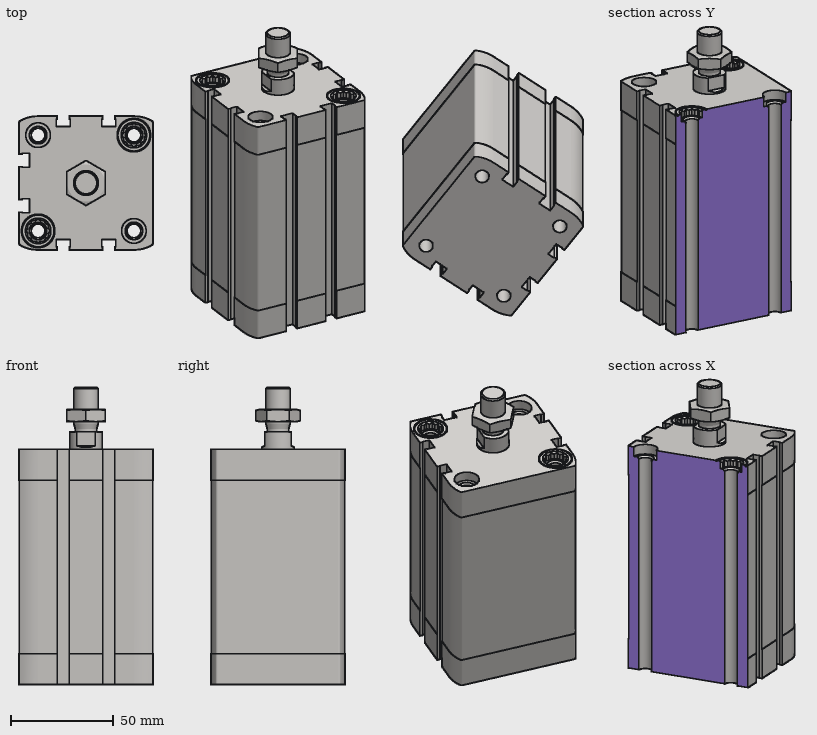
import cadquery as cq
import math


TOTAL_HEIGHT = 145.2
HOUSING_WIDTH = 65.5
HOUSING_HEIGHT = 115.0
HALF_WIDTH = HOUSING_WIDTH / 2

CAP_HEIGHT = 15.1
BARREL_HEIGHT = HOUSING_HEIGHT - 2 * CAP_HEIGHT
BARREL_INSET = 0.1
CORNER_ARC_RADIUS = 18.0
CORNER_EDGE_FILLET = 1.2

SLOT_PITCH = 22.2
SLOT_MOUTH_WIDTH = 6.1
SLOT_INNER_WIDTH = 6.7
SLOT_DEPTH = 5.1
SLOT_LIP = 1.6

HOLE_OFFSET = 23.4
THROUGH_DIAMETER = 6.7
THROUGH_MOUTH_DIAMETER = 8.5
COUNTERBORE_DIAMETER = 12.0
COUNTERBORE_DEPTH = 5.0

GROOVE_OUTER_DIAMETER = 16.4
GROOVE_INNER_DIAMETER = 15.5
GROOVE_DEPTH = 0.9
SOCKET_FLATS = 10.0
SOCKET_DEPTH = 3.9
SOCKET_MOUTH_DIAMETER = 12.5

ROD_DIAMETER = 16.0
ROD_SHOULDER_Z = 123.4
NECK_DIAMETER = 10.6
NECK_TOP_Z = 124.9
THREAD_DIAMETER = 12.0
THREAD_START_Z = 127.5
THREAD_TIP_DIAMETER = 10.6
THREAD_TIP_CHAMFER = (THREAD_DIAMETER - THREAD_TIP_DIAMETER) / 2
ROD_FLATS = 13.0
ROD_FLAT_BOTTOM_Z = 116.7
ROD_FLAT_RUNOUT = 0.9

NUT_FLATS = 19.0
NUT_BOTTOM_Z = 128.4
NUT_HEIGHT = 6.1
NUT_FACE_DIAMETER = 18.2
NUT_CHAMFER_HEIGHT = 0.6


def hexagon_corner_diameter(across_flats):
    return across_flats / math.cos(math.radians(30))


def vertical_cylinder(diameter, bottom, top):
    return cq.Workplane("XY").workplane(offset=bottom).circle(diameter / 2).extrude(top - bottom)


def vertical_cone(bottom_diameter, top_diameter, bottom, top):
    return cq.Workplane(
        cq.Solid.makeCone(bottom_diameter / 2, top_diameter / 2, top - bottom, pnt=cq.Vector(0, 0, bottom))
    )


def turned_hexagon(across_flats, bottom, height):
    """Hexagonal prism with two of its corners on the Y axis."""
    return (
        cq.Workplane("XY")
        .workplane(offset=bottom)
        .transformed(rotate=(0, 0, 30))
        .polygon(6, hexagon_corner_diameter(across_flats))
        .extrude(height)
    )


def profile_block(inset, bottom, height):
    """Block whose +Y and -Y sides curve back towards the corners."""
    half = HALF_WIDTH - inset
    radius = CORNER_ARC_RADIUS - inset
    arc_centre_y = half - radius
    arc_span = math.asin((half - HOLE_OFFSET) / radius)
    corner_y = arc_centre_y + radius * math.cos(arc_span)
    mid_x = HOLE_OFFSET + radius * math.sin(arc_span / 2)
    mid_y = arc_centre_y + radius * math.cos(arc_span / 2)
    return (
        cq.Workplane("XY")
        .workplane(offset=bottom)
        .moveTo(-HOLE_OFFSET, half)
        .lineTo(HOLE_OFFSET, half)
        .threePointArc((mid_x, mid_y), (half, corner_y))
        .lineTo(half, -corner_y)
        .threePointArc((mid_x, -mid_y), (HOLE_OFFSET, -half))
        .lineTo(-HOLE_OFFSET, -half)
        .threePointArc((-mid_x, -mid_y), (-half, -corner_y))
        .lineTo(-half, corner_y)
        .threePointArc((-mid_x, mid_y), (-HOLE_OFFSET, half))
        .close()
        .extrude(height)
        .edges("|Z and (<X or >X)")
        .fillet(CORNER_EDGE_FILLET)
    )


def slot_cutter():
    """Undercut slot in the middle of the +Y side, over the full height."""
    mouth_half = SLOT_MOUTH_WIDTH / 2
    inner_half = SLOT_INNER_WIDTH / 2
    lip_y = HALF_WIDTH - SLOT_LIP
    floor_y = HALF_WIDTH - SLOT_DEPTH
    return (
        cq.Workplane("XY")
        .moveTo(0, HALF_WIDTH)
        .lineTo(mouth_half, HALF_WIDTH)
        .lineTo(mouth_half, lip_y)
        .lineTo(inner_half, lip_y)
        .lineTo(inner_half, floor_y)
        .lineTo(0, floor_y)
        .mirrorY()
        .extrude(HOUSING_HEIGHT)
    )


def through_hole(seat_z):
    """Hole through the housing, countersunk at the seat it starts from."""
    countersink = (THROUGH_MOUTH_DIAMETER - THROUGH_DIAMETER) / 2
    bore = vertical_cylinder(THROUGH_DIAMETER, 0, seat_z)
    return bore.union(
        vertical_cone(THROUGH_DIAMETER, THROUGH_MOUTH_DIAMETER, seat_z - countersink, seat_z)
    )


def counterbored_hole():
    seat_z = HOUSING_HEIGHT - COUNTERBORE_DEPTH
    counterbore = vertical_cylinder(COUNTERBORE_DIAMETER, seat_z, HOUSING_HEIGHT)
    return through_hole(seat_z).union(counterbore)


def bearing_screw_hole():
    """Twelve-point socket over a through hole, inside the groove round the screw head."""
    seat_z = HOUSING_HEIGHT - SOCKET_DEPTH
    hexagon = turned_hexagon(SOCKET_FLATS, seat_z, SOCKET_DEPTH)
    socket = hexagon.union(hexagon.rotate((0, 0, 0), (0, 0, 1), 30))
    mouth_depth = (SOCKET_MOUTH_DIAMETER - SOCKET_FLATS) / 2
    mouth = vertical_cone(SOCKET_FLATS, SOCKET_MOUTH_DIAMETER, HOUSING_HEIGHT - mouth_depth, HOUSING_HEIGHT)
    groove_z = HOUSING_HEIGHT - GROOVE_DEPTH
    groove = vertical_cylinder(GROOVE_OUTER_DIAMETER, groove_z, HOUSING_HEIGHT).cut(
        vertical_cone(GROOVE_OUTER_DIAMETER, GROOVE_INNER_DIAMETER, groove_z, HOUSING_HEIGHT)
    )
    return through_hole(seat_z).union(socket).union(mouth).union(groove)


def make_housing():
    housing = profile_block(0, 0, CAP_HEIGHT)
    housing = housing.union(profile_block(BARREL_INSET, CAP_HEIGHT, BARREL_HEIGHT))
    housing = housing.union(profile_block(0, HOUSING_HEIGHT - CAP_HEIGHT, CAP_HEIGHT))
    for side_angle in (0, 90, 180):
        for slot_x in (-SLOT_PITCH / 2, SLOT_PITCH / 2):
            slot = slot_cutter().translate((slot_x, 0, 0))
            housing = housing.cut(slot.rotate((0, 0, 0), (0, 0, 1), side_angle))
    for side in (-1, 1):
        plain_place = (side * HOLE_OFFSET, -side * HOLE_OFFSET, 0)
        screw_place = (side * HOLE_OFFSET, side * HOLE_OFFSET, 0)
        housing = housing.cut(counterbored_hole().translate(plain_place))
        housing = housing.cut(bearing_screw_hole().translate(screw_place))
    return housing


def rod_flat_cutter():
    """Material removed beside the +Y wrench flat, ending in a step that slopes down outwards."""
    flat_y = ROD_FLATS / 2
    rod_radius = ROD_DIAMETER / 2
    return (
        cq.Workplane("YZ")
        .moveTo(flat_y, ROD_SHOULDER_Z)
        .lineTo(flat_y, ROD_FLAT_BOTTOM_Z)
        .lineTo(rod_radius, ROD_FLAT_BOTTOM_Z - ROD_FLAT_RUNOUT)
        .lineTo(rod_radius, ROD_SHOULDER_Z)
        .close()
        .extrude(rod_radius, both=True)
    )


def make_piston_rod():
    """Rod resting on the top face of the housing."""
    rod = (
        cq.Workplane("XZ")
        .moveTo(0, HOUSING_HEIGHT)
        .lineTo(ROD_DIAMETER / 2, HOUSING_HEIGHT)
        .lineTo(ROD_DIAMETER / 2, ROD_SHOULDER_Z)
        .lineTo(NECK_DIAMETER / 2, ROD_SHOULDER_Z)
        .lineTo(NECK_DIAMETER / 2, NECK_TOP_Z)
        .lineTo(THREAD_DIAMETER / 2, THREAD_START_Z)
        .lineTo(THREAD_DIAMETER / 2, TOTAL_HEIGHT - THREAD_TIP_CHAMFER)
        .lineTo(THREAD_TIP_DIAMETER / 2, TOTAL_HEIGHT)
        .lineTo(0, TOTAL_HEIGHT)
        .close()
        .revolve(360, (0, 0, 0), (0, 1, 0))
    )
    for side_angle in (0, 180):
        rod = rod.cut(rod_flat_cutter().rotate((0, 0, 0), (0, 0, 1), side_angle))
    return rod


def make_nut():
    """Hexagon nut on the thread, with its corners turned down on both faces."""
    corner_radius = hexagon_corner_diameter(NUT_FLATS) / 2
    face_radius = NUT_FACE_DIAMETER / 2
    top_z = NUT_BOTTOM_Z + NUT_HEIGHT
    turned_envelope = (
        cq.Workplane("XZ")
        .moveTo(0, NUT_BOTTOM_Z)
        .lineTo(face_radius, NUT_BOTTOM_Z)
        .lineTo(corner_radius, NUT_BOTTOM_Z + NUT_CHAMFER_HEIGHT)
        .lineTo(corner_radius, top_z - NUT_CHAMFER_HEIGHT)
        .lineTo(face_radius, top_z)
        .lineTo(0, top_z)
        .close()
        .revolve(360, (0, 0, 0), (0, 1, 0))
    )
    nut = turned_hexagon(NUT_FLATS, NUT_BOTTOM_Z, NUT_HEIGHT).intersect(turned_envelope)
    return nut.cut(vertical_cylinder(THREAD_DIAMETER, NUT_BOTTOM_Z, top_z))


housing = make_housing()
piston_rod = make_piston_rod()
nut = make_nut()

result = cq.Compound.makeCompound([body.solids().val() for body in (housing, piston_rod, nut)])